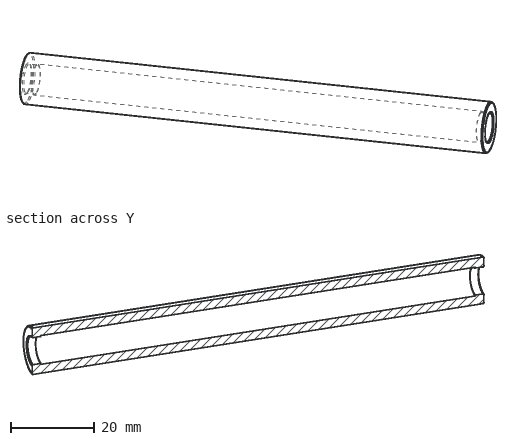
import cadquery as cq

length = 115.6
outer_diameter = 12.5
end_bore_diameter = 7.0
end_bore_depth = 2.3
inner_bore_diameter = 7.5
outer_chamfer = 0.29
bore_chamfer = 0.29


def tube_profile():
    """Half section of the tube wall: X along the axis, Y as the radius."""
    outer_radius = outer_diameter / 2
    end_bore_radius = end_bore_diameter / 2
    inner_bore_radius = inner_bore_diameter / 2
    return (
        cq.Workplane("XY")
        .moveTo(0, outer_radius - outer_chamfer)
        .lineTo(outer_chamfer, outer_radius)
        .lineTo(length - outer_chamfer, outer_radius)
        .lineTo(length, outer_radius - outer_chamfer)
        .lineTo(length, end_bore_radius + bore_chamfer)
        .lineTo(length - bore_chamfer, end_bore_radius)
        .lineTo(length - end_bore_depth, end_bore_radius)
        .lineTo(length - end_bore_depth, inner_bore_radius)
        .lineTo(end_bore_depth, inner_bore_radius)
        .lineTo(end_bore_depth, end_bore_radius)
        .lineTo(bore_chamfer, end_bore_radius)
        .lineTo(0, end_bore_radius + bore_chamfer)
        .close()
    )


result = tube_profile().revolve(360, (0, 0, 0), (1, 0, 0))